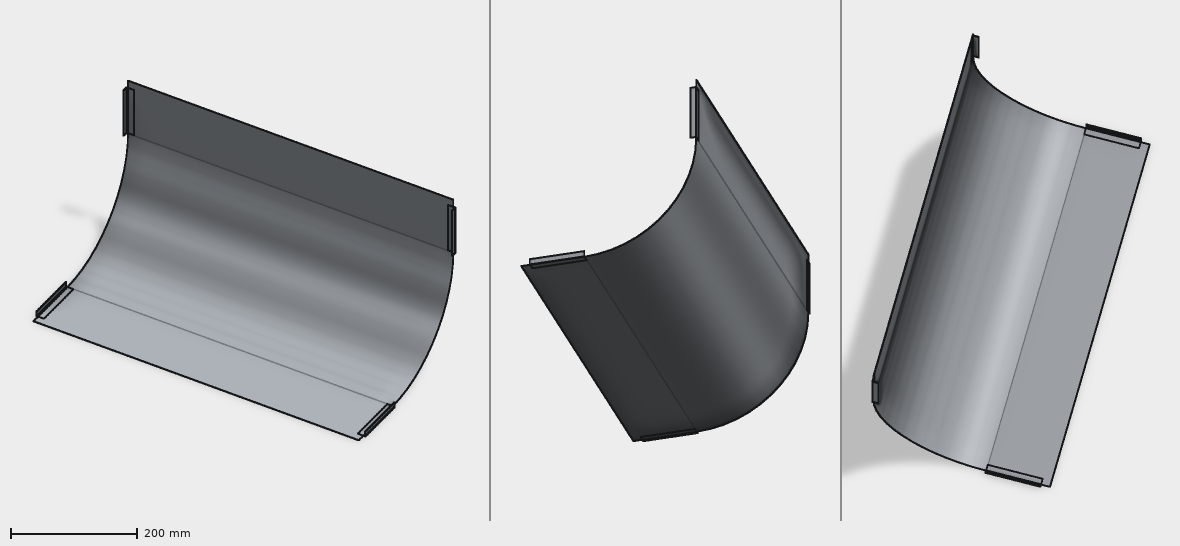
import cadquery as cq

SHEET_LENGTH = 601.0
SHEET_THICKNESS = 0.75
STRIP_WIDTH = 104.9
OVERALL_HEIGHT = 290.5

FOOT_THICKNESS = 0.7
LIP_THICKNESS = 1.0
BRACKET_LENGTH = 90.0
FOOT_WIDTH = 14.0
LIP_HEIGHT = 9.6
END_OVERHANG = 3.5

SHEET_FACE = FOOT_THICKNESS
BEND_RADIUS = OVERALL_HEIGHT - SHEET_FACE - STRIP_WIDTH
BEND_START = SHEET_FACE + BEND_RADIUS
BRACKET_END_X = SHEET_LENGTH / 2 + END_OVERHANG


def make_sheet():
    """Curved sheet, drawn as a Y-Z section and extruded along X."""
    inner_face = SHEET_FACE + SHEET_THICKNESS
    outer_mid = BEND_START - BEND_RADIUS * 0.5**0.5
    inner_mid = BEND_START - (BEND_RADIUS - SHEET_THICKNESS) * 0.5**0.5
    return (
        cq.Workplane("YZ")
        .moveTo(-OVERALL_HEIGHT, SHEET_FACE)
        .lineTo(-BEND_START, SHEET_FACE)
        .threePointArc((-outer_mid, outer_mid), (-SHEET_FACE, BEND_START))
        .lineTo(-SHEET_FACE, OVERALL_HEIGHT)
        .lineTo(-inner_face, OVERALL_HEIGHT)
        .lineTo(-inner_face, BEND_START)
        .threePointArc((-inner_mid, inner_mid), (-BEND_START, inner_face))
        .lineTo(-OVERALL_HEIGHT, inner_face)
        .close()
        .extrude(SHEET_LENGTH / 2, both=True)
    )


def bracket_section(plane, side, inward):
    """L-shaped section; side is the sheet end (-1 or 1), inward the lip direction on the plane."""
    outer_x = side * BRACKET_END_X
    lip_x = side * (BRACKET_END_X - LIP_THICKNESS)
    foot_x = side * (BRACKET_END_X - FOOT_WIDTH)
    return (
        cq.Workplane(plane)
        .moveTo(outer_x, 0)
        .lineTo(foot_x, 0)
        .lineTo(foot_x, inward * FOOT_THICKNESS)
        .lineTo(lip_x, inward * FOOT_THICKNESS)
        .lineTo(lip_x, inward * LIP_HEIGHT)
        .lineTo(outer_x, inward * LIP_HEIGHT)
        .close()
    )


def make_bottom_bracket(side):
    """Bracket below the horizontal strip, running from the bend towards -Y."""
    section = bracket_section("XZ", side, 1)
    return section.extrude(BRACKET_LENGTH).translate((0, -BEND_START, 0))


def make_back_bracket(side):
    """Bracket behind the vertical strip, running from the bend upwards."""
    section = bracket_section("XY", side, -1)
    return section.extrude(BRACKET_LENGTH).translate((0, 0, BEND_START))


sheet = make_sheet()
brackets = []
for end_side in (-1, 1):
    brackets.append(make_bottom_bracket(end_side))
    brackets.append(make_back_bracket(end_side))

result = cq.Compound.makeCompound([sheet.val(), *[bracket.val() for bracket in brackets]])